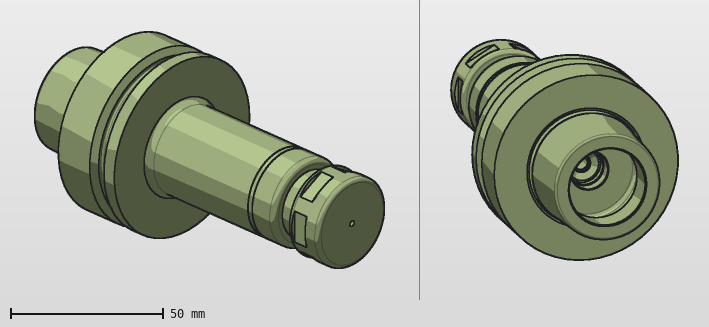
import cadquery as cq
tip_radius = 18.1
tip_round = 0.8
taper_base_radius = 19.1
taper_end_x = 23.0
neck_radius = 18.7
neck_start_x = 23.7

flange_radius = 63.0 / 2
flange_start_x = 25.0
flange_end_x = 51.0
groove_rim_start_x = 39.5
groove_wall_start_x = 41.2
groove_wall_end_x = 44.6
groove_rim_end_x = 46.2
groove_wall_radius = 29.0
groove_floor_radius = 27.5
groove_floor_round = 0.6

relief_radius = 20.3
relief_depth = 0.4
relief_fillet = 0.8

shank_radius = 32.0 / 2
shank_end_x = 109.6
shank_end_round = 2.1
shank_root_radius = 17.7
shank_root_length = 2.7
band_start_x = 97.5
band_end_x = 99.5
band_depth = 0.1

spindle_radius = 24.0 / 2
nut_radius = shank_radius
nut_start_x = 116.0
nut_end_x = 130.0
nut_round = 1.5
flat_count = 6
flat_distance = 15.0
flat_start_x = 118.3
flat_end_x = 123.8
flat_wall_run = 0.4

mouth_radius = 26 / 2
mouth_chamfer = 0.4
undercut_radius = 32.0 / 2
undercut_start_x = 9.9
undercut_corner_round = 1.3
floor_x = 21.2
socket_radius = 13.3 / 2
socket_chamfer = 0.3
socket_step_radius = 12.0 / 2
socket_step_x = 26.0
socket_end_x = 28.6
funnel_large_radius = 10.7 / 2
funnel_small_radius = 6.0 / 2
funnel_end_x = 30.0
pilot_mouth_radius = 5.0 / 2
pilot_mouth_end_x = 31.2
pilot_radius = 4.5 / 2
pilot_end_x = 39.0
passage_radius = 2.0 / 2


def revolve_about_x(outline):
    """Turn a closed XY outline a full revolution about the X axis."""
    return outline.close().revolve(360, (0, 0, 0), (1, 0, 0))


def turned_body():
    """Solid outer shape: taper, flange, shank, spindle and nut."""
    relief_floor_x = flange_start_x + relief_depth
    rise = shank_root_radius - shank_radius
    root_arc_radius = (shank_root_length**2 + rise**2) / (2 * rise)
    outline = (
        cq.Workplane("XY")
        .moveTo(0, 0)
        .lineTo(0, tip_radius - tip_round)
        .radiusArc((tip_round, tip_radius), tip_round)
        .lineTo(taper_end_x, taper_base_radius)
        .lineTo(neck_start_x, neck_radius)
        .lineTo(relief_floor_x - relief_fillet, neck_radius)
        .radiusArc((relief_floor_x, neck_radius + relief_fillet), -relief_fillet)
        .lineTo(flange_start_x, relief_radius)
        .lineTo(flange_start_x, flange_radius)
        .lineTo(groove_rim_start_x, flange_radius)
        .lineTo(groove_wall_start_x, groove_wall_radius)
        .lineTo(groove_wall_start_x, groove_floor_radius + groove_floor_round)
        .radiusArc((groove_wall_start_x + groove_floor_round, groove_floor_radius), -groove_floor_round)
        .lineTo(groove_wall_end_x - groove_floor_round, groove_floor_radius)
        .radiusArc((groove_wall_end_x, groove_floor_radius + groove_floor_round), -groove_floor_round)
        .lineTo(groove_wall_end_x, groove_wall_radius)
        .lineTo(groove_rim_end_x, flange_radius)
        .lineTo(flange_end_x, flange_radius)
        .lineTo(flange_end_x, shank_root_radius)
        .radiusArc((flange_end_x + shank_root_length, shank_radius), -root_arc_radius)
        .lineTo(band_start_x, shank_radius)
        .lineTo(band_start_x, shank_radius - band_depth)
        .lineTo(band_end_x, shank_radius - band_depth)
        .lineTo(band_end_x, shank_radius)
        .lineTo(shank_end_x - shank_end_round, shank_radius)
        .radiusArc((shank_end_x, shank_radius - shank_end_round), shank_end_round)
        .lineTo(shank_end_x, spindle_radius)
        .lineTo(nut_start_x, spindle_radius)
        .lineTo(nut_start_x, nut_radius - nut_round)
        .radiusArc((nut_start_x + nut_round, nut_radius), nut_round)
        .lineTo(nut_end_x - nut_round, nut_radius)
        .radiusArc((nut_end_x, nut_radius - nut_round), nut_round)
        .lineTo(nut_end_x, 0)
    )
    return revolve_about_x(outline)


def bore():
    """Stepped hole that runs through the whole part."""
    outline = (
        cq.Workplane("XY")
        .moveTo(0, 0)
        .lineTo(0, mouth_radius + mouth_chamfer)
        .lineTo(mouth_chamfer, mouth_radius)
        .lineTo(undercut_start_x, mouth_radius)
        .lineTo(undercut_start_x, undercut_radius)
        .lineTo(floor_x - undercut_corner_round, undercut_radius)
        .radiusArc((floor_x, undercut_radius - undercut_corner_round), undercut_corner_round)
        .lineTo(floor_x, socket_radius)
        .lineTo(floor_x + socket_chamfer, socket_radius - socket_chamfer)
        .lineTo(socket_step_x, socket_radius - socket_chamfer)
        .lineTo(socket_step_x, socket_step_radius)
        .lineTo(socket_end_x, socket_step_radius)
        .lineTo(socket_end_x, funnel_large_radius)
        .lineTo(funnel_end_x, funnel_small_radius)
        .lineTo(funnel_end_x, pilot_mouth_radius)
        .lineTo(pilot_mouth_end_x, pilot_mouth_radius)
        .lineTo(pilot_mouth_end_x, pilot_radius)
        .lineTo(pilot_end_x, pilot_radius)
        .lineTo(pilot_end_x, passage_radius)
        .lineTo(nut_end_x, passage_radius)
        .lineTo(nut_end_x, 0)
    )
    return revolve_about_x(outline)


def wrench_flat(angle):
    """Cutter for one flat pocket with sloped end walls, turned about X."""
    return (
        cq.Workplane("XY")
        .moveTo(flat_start_x, flat_distance)
        .lineTo(flat_end_x, flat_distance)
        .lineTo(flat_end_x + flat_wall_run, nut_radius)
        .lineTo(flat_start_x - flat_wall_run, nut_radius)
        .close()
        .extrude(nut_radius / 2, both=True)
        .rotate((0, 0, 0), (1, 0, 0), angle)
    )


result = turned_body().cut(bore())
for index in range(flat_count):
    result = result.cut(wrench_flat(index * 360 / flat_count))